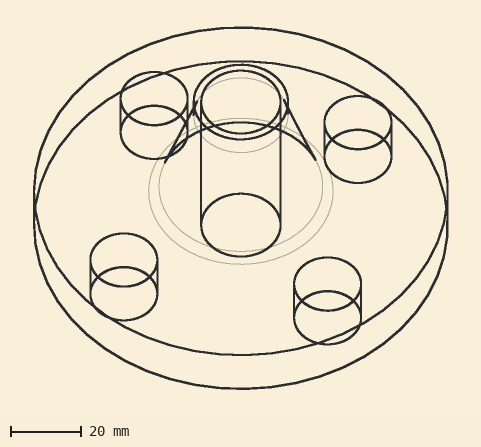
import cadquery as cq

flange_diameter = 117.3
flange_thickness = 15.7
overall_height = 57.1

neck_diameter = 26.7
neck_straight_length = 6.1
bore_diameter = 22.5
hub_base_diameter = 47.7
hub_fillet_radius = 3.0

bolt_hole_count = 4
bolt_hole_diameter = 19.0
bolt_circle_diameter = 82.6


def flange_disc():
    """Flat round flange standing on the XY plane."""
    return cq.Workplane("XY").circle(flange_diameter / 2).extrude(flange_thickness)


def neck():
    """Conical hub that narrows to a short straight welding end."""
    cone_top = overall_height - neck_straight_length
    return (
        cq.Workplane("XZ")
        .moveTo(0, flange_thickness)
        .lineTo(hub_base_diameter / 2, flange_thickness)
        .lineTo(neck_diameter / 2, cone_top)
        .lineTo(neck_diameter / 2, overall_height)
        .lineTo(0, overall_height)
        .close()
        .revolve(360, (0, 0, 0), (0, 1, 0))
    )


def hub_root_edge(body):
    """Circle where the cone meets the top face of the flange."""
    clearance = 1.2
    reach = hub_base_diameter / 2 + clearance
    return body.edges(cq.selectors.BoxSelector(
        (-reach, -reach, flange_thickness - clearance),
        (reach, reach, flange_thickness + clearance),
        boundingbox=True,
    ))


def bore():
    """Straight bore through the whole part."""
    return cq.Workplane("XY").circle(bore_diameter / 2).extrude(overall_height)


def bolt_holes():
    """Through holes spaced evenly on the bolt circle, starting on the X axis."""
    return (
        cq.Workplane("XY")
        .polarArray(bolt_circle_diameter / 2, 0, 360, bolt_hole_count)
        .circle(bolt_hole_diameter / 2)
        .extrude(flange_thickness)
    )


body = flange_disc().union(neck())
body = hub_root_edge(body).fillet(hub_fillet_radius)
result = body.cut(bore()).cut(bolt_holes())